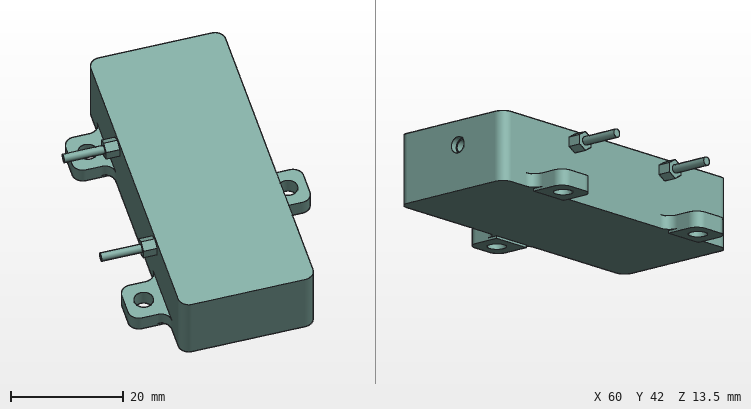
import cadquery as cq
import math

LENGTH = 60.0
WIDTH = 25.0
HEIGHT = 13.0
CORNER_RADIUS = 2.0

LUG_REACH = 6.95
LUG_WIDTH = 8.0
LUG_THICKNESS = 3.0
LUG_DROP = 0.5
LUG_RADIUS = 2.0
LUG_HOLE_DIAMETER = 3.5
FRONT_LUG_X = 18.0

PORT_Y = -1.5
PORT_Z = HEIGHT - 4.5
PORT_MOUTH_DIAMETER = 3.0
PORT_MOUTH_DEPTH = 1.25
PORT_BORE_DIAMETER = 2.5
PORT_DEPTH = 3.0

TERMINAL_COUNT = 2
TERMINAL_SPACING = 24.0
FIRST_TERMINAL_X = -11.0
TERMINAL_Z = HEIGHT - 2.3
COLLAR_ACROSS_FLATS = 3.05
COLLAR_SIDES = 6
COLLAR_LENGTH = 2.5
WIRE_DIAMETER = 1.55
TERMINAL_REACH = 10.0

COLLAR_ACROSS_CORNERS = COLLAR_ACROSS_FLATS / math.cos(math.pi / COLLAR_SIDES)


def make_lug(x, side):
    """Lug centred at x, standing out of the +Y (side = 1) or -Y (side = -1) face."""
    half = LUG_WIDTH / 2
    face = WIDTH / 2
    middle = face + LUG_REACH / 2
    tab = (
        cq.Workplane("XY", origin=(0, middle, -LUG_DROP))
        .rect(LUG_WIDTH, LUG_REACH)
        .extrude(LUG_THICKNESS)
        .edges("|Z and >Y")
        .fillet(LUG_RADIUS)
    )
    root = (
        cq.Workplane("XY")
        .moveTo(-half - LUG_RADIUS, face)
        .radiusArc((-half, face + LUG_RADIUS), -LUG_RADIUS)
        .lineTo(half, face + LUG_RADIUS)
        .radiusArc((half + LUG_RADIUS, face), -LUG_RADIUS)
        .close()
        .extrude(LUG_THICKNESS - LUG_DROP)
    )
    hole = (
        cq.Workplane("XY", origin=(0, middle, -LUG_DROP))
        .circle(LUG_HOLE_DIAMETER / 2)
        .extrude(LUG_THICKNESS)
    )
    lug = tab.union(root).cut(hole)
    if side < 0:
        lug = lug.rotate((0, 0, 0), (0, 0, 1), 180)
    return lug.translate((x, 0, 0))


def make_port():
    """Stepped cutter for the blind port, running in +X from the -X end."""
    plane = cq.Workplane("YZ", origin=(-LENGTH / 2, PORT_Y, PORT_Z))
    mouth = plane.circle(PORT_MOUTH_DIAMETER / 2).extrude(PORT_MOUTH_DEPTH)
    bore = plane.circle(PORT_BORE_DIAMETER / 2).extrude(PORT_DEPTH)
    return mouth.union(bore)


def make_housing():
    block = (
        cq.Workplane("XY")
        .box(LENGTH, WIDTH, HEIGHT, centered=(True, True, False))
        .edges("|Z")
        .fillet(CORNER_RADIUS)
    )
    for x, side in [(-FRONT_LUG_X, -1), (FRONT_LUG_X, -1), (0, 1)]:
        block = block.union(make_lug(x, side))
    return block.cut(make_port())


def make_terminal(x):
    """Collar and wire, running in -Y from the housing side."""
    plane = cq.Workplane("XZ", origin=(x, -WIDTH / 2, TERMINAL_Z)).transformed(rotate=(0, 0, 90))
    collar = plane.polygon(COLLAR_SIDES, COLLAR_ACROSS_CORNERS).extrude(COLLAR_LENGTH)
    wire = plane.circle(WIRE_DIAMETER / 2).extrude(TERMINAL_REACH)
    return collar.union(wire)


housing = make_housing()
terminals = [make_terminal(FIRST_TERMINAL_X + i * TERMINAL_SPACING) for i in range(TERMINAL_COUNT)]

result = cq.Compound.makeCompound([housing.val(), *[t.val() for t in terminals]])